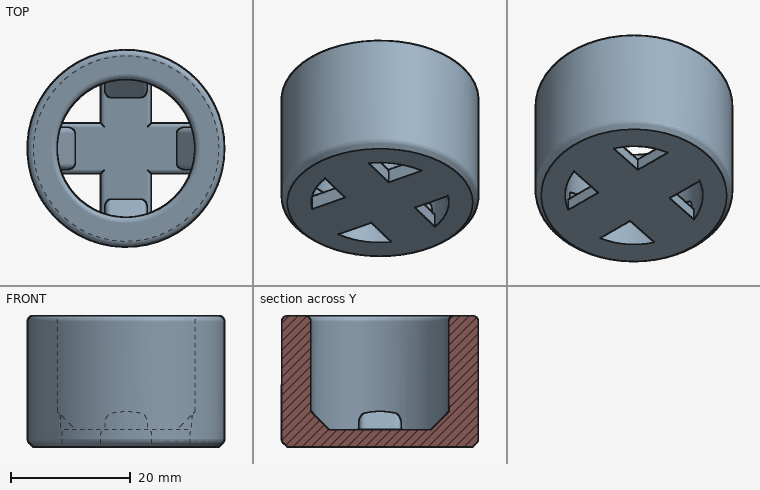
import cadquery as cq
import math

outer_radius = 33 / 2
bore_radius = 23 / 2
height = 22
rim_fillet = 1
base_chamfer = 1
base_blend = 1

bar_width = 8.5
bar_thickness = 3
bar_edge_fillet = 0.75
wall_overlap = 1.5

ramp_foot_radius = 8.5
ramp_angle = 45
ramp_width = 7.1
ramp_edge_fillet = 1
ramp_sink = bar_edge_fillet

bar_end_radius = bore_radius + wall_overlap


def make_ring():
    """Tube with rounded top rims and a blended chamfer around the base."""
    cylinder = cq.Workplane("XY").circle(outer_radius).extrude(height)
    cylinder = cylinder.faces("<Z").edges().chamfer(base_chamfer)
    chamfer_top_edge = cylinder.faces("%CYLINDER").edges("<Z")
    cylinder = chamfer_top_edge.fillet(base_blend)
    tube = cylinder.faces(">Z").workplane().hole(2 * bore_radius)
    return tube.faces(">Z").edges().fillet(rim_fillet)


def make_bar():
    """Floor bar along X with rounded upper long edges."""
    bar = cq.Workplane("XY").box(
        2 * bar_end_radius, bar_width, bar_thickness, centered=(True, True, False)
    )
    return bar.edges("|X and >Z").fillet(bar_edge_fillet)


def make_ramp():
    """Wedge at the +X end of a bar, sunk into the floor, with rounded sloping edges."""
    slope = math.tan(math.radians(ramp_angle))
    base_z = bar_thickness - ramp_sink
    base_radius = ramp_foot_radius - ramp_sink / slope
    top_z = base_z + (bar_end_radius - base_radius) * slope
    wedge = (
        cq.Workplane("XZ", origin=(0, ramp_width / 2, 0))
        .moveTo(base_radius, base_z)
        .lineTo(bar_end_radius, base_z)
        .lineTo(bar_end_radius, top_z)
        .close()
        .extrude(ramp_width)
    )
    sloping_edges = wedge.edges("not (|X or |Y or |Z)")
    return sloping_edges.fillet(ramp_edge_fillet)


def turned(shape, angle):
    """Copy of a shape turned about the ring axis."""
    return shape.rotate((0, 0, 0), (0, 0, 1), angle)


result = make_ring()

bar = make_bar()
for angle in (0, 90):
    result = result.union(turned(bar, angle))

ramp = make_ramp()
for angle in (0, 90, 180, 270):
    result = result.union(turned(ramp, angle))